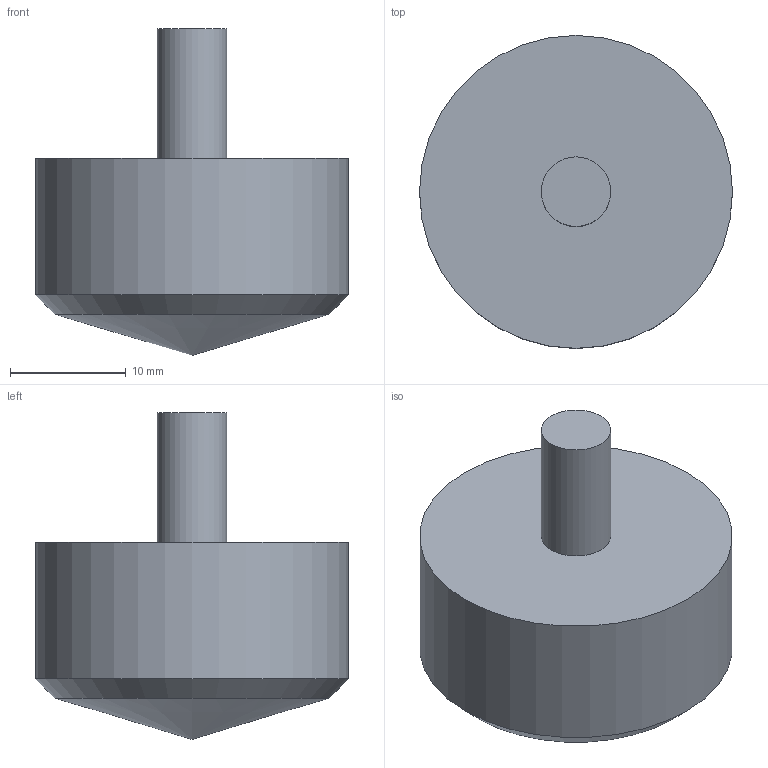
import cadquery as cq

head_diameter = 27.0
stem_diameter = 6.0
head_height = 17.0
stem_length = 11.2
bevel_size = 1.7
cone_slope = 0.3

head_radius = head_diameter / 2
stem_radius = stem_diameter / 2
cone_radius = head_radius - bevel_size
cone_top = cone_radius * cone_slope
bevel_top = cone_top + bevel_size
stem_top = head_height + stem_length


def make_turned_part():
    """Revolve the half profile, from the point up to the stem's end, about Z."""
    half_profile = (
        cq.Workplane("XZ")
        .moveTo(0, 0)
        .lineTo(cone_radius, cone_top)
        .lineTo(head_radius, bevel_top)
        .lineTo(head_radius, head_height)
        .lineTo(stem_radius, head_height)
        .lineTo(stem_radius, stem_top)
        .lineTo(0, stem_top)
        .close()
    )
    return half_profile.revolve(360, (0, 0, 0), (0, 1, 0))


result = make_turned_part()